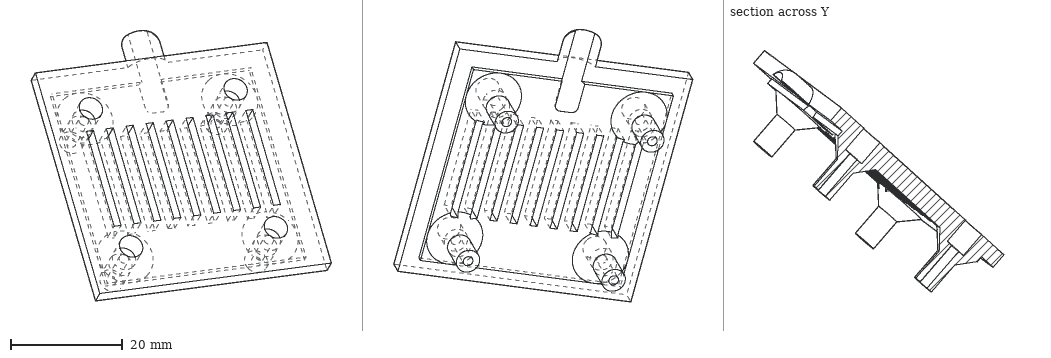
import cadquery as cq

TILT_ANGLE = 45

PLATE_SIDE = 44.45
PLATE_THICKNESS = 3.02
PAD_SIDE = 38.15
PAD_THICKNESS = 1.1
PLATE_BOTTOM = -PLATE_THICKNESS
PAD_BOTTOM = PLATE_BOTTOM - PAD_THICKNESS

POST_SPACING = 27.8
POST_DIAMETER = 4.3
POST_LENGTH = 6.35
CONE_HEIGHT = 3.2
CONE_DIAMETER = 10.35
SCREW_HOLE_DIAMETER = 1.8
HEAD_RECESS_DIAMETER = 4.3
HEAD_RECESS_DEPTH = 5.0
CONE_BOTTOM = PAD_BOTTOM - CONE_HEIGHT
POST_BOTTOM = CONE_BOTTOM - POST_LENGTH

SLOT_COUNT = 9
SLOT_PITCH = 3.82
SLOT_LENGTH = 19.1
SLOT_WIDTH = 1.35

PEG_RADIUS = 3.82
PEG_OVERHANG = 6.6
PEG_ROUNDING = 2.62
PEG_INSET = 0.9
GROOVE_RADIUS = POST_DIAMETER / 2
GROOVE_LENGTH_IN_PAD = 5.82
GROOVE_ROUNDING = 1.1
PEG_AXIS_Z = PAD_BOTTOM
PEG_TIP_X = -PLATE_SIDE / 2 - PEG_OVERHANG
GROOVE_END_X = -PAD_SIDE / 2 + GROOVE_LENGTH_IN_PAD


def block(length, width, top, bottom):
    """Box centred on the Z axis between two heights."""
    return (
        cq.Workplane("XY", origin=(0, 0, bottom))
        .rect(length, width)
        .extrude(top - bottom)
    )


def rod(radius, start_x, end_x):
    """Cylinder along X on the peg axis."""
    return (
        cq.Workplane("YZ", origin=(start_x, 0, PEG_AXIS_Z))
        .circle(radius)
        .extrude(end_x - start_x)
    )


def make_post():
    """Post and conical root, revolved about the Z axis."""
    radius = POST_DIAMETER / 2
    root_radius = CONE_DIAMETER / 2
    return (
        cq.Workplane("XZ")
        .moveTo(0, POST_BOTTOM)
        .lineTo(radius, POST_BOTTOM)
        .lineTo(radius, CONE_BOTTOM)
        .lineTo(root_radius, PAD_BOTTOM)
        .lineTo(0, PAD_BOTTOM)
        .close()
        .revolve(360, (0, 0), (0, 1))
    )


def make_peg():
    """Rounded rod cut flat at the level of the plate's bottom face."""
    peg = rod(PEG_RADIUS, PEG_TIP_X, -PLATE_SIDE / 2 + PEG_INSET)
    peg = peg.faces("<X").edges().fillet(PEG_ROUNDING)
    keep = block(2 * PLATE_SIDE, PLATE_SIDE, 0, PLATE_BOTTOM)
    return peg.intersect(keep)


body = block(PLATE_SIDE, PLATE_SIDE, 0, PLATE_BOTTOM)
body = body.union(block(PAD_SIDE, PAD_SIDE, PLATE_BOTTOM, PAD_BOTTOM))
half_spacing = POST_SPACING / 2
post_places = [(x, y) for x in (-half_spacing, half_spacing) for y in (-half_spacing, half_spacing)]
for x, y in post_places:
    body = body.union(make_post().translate((x, y, 0)))
body = body.union(make_peg())

for diameter, depth in (
    (SCREW_HOLE_DIAMETER, -POST_BOTTOM),
    (HEAD_RECESS_DIAMETER, HEAD_RECESS_DEPTH),
):
    holes = cq.Workplane("XY").pushPoints(post_places).circle(diameter / 2).extrude(-depth)
    body = body.cut(holes)

slots = (
    cq.Workplane("XY")
    .rarray(0.45, SLOT_PITCH, 1, SLOT_COUNT)
    .rect(SLOT_LENGTH, SLOT_WIDTH)
    .extrude(POST_BOTTOM)
)
body = body.cut(slots)

groove = rod(GROOVE_RADIUS, PEG_TIP_X, GROOVE_END_X)
groove = groove.faces(">X").edges().fillet(GROOVE_ROUNDING)
body = body.cut(groove)

result = body.rotate((0, 0, 0), (0, 1, 0), TILT_ANGLE)